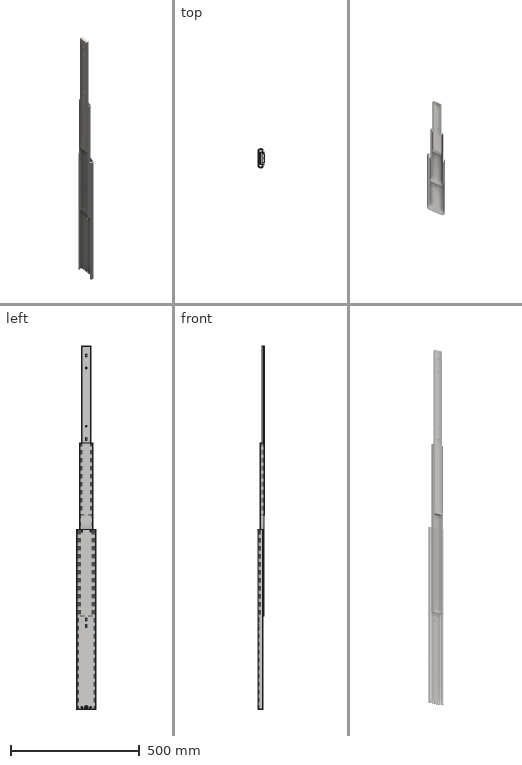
import cadquery as cq
import math

TOTAL_HEIGHT = 1410
HALF_DEPTH = 12.8

OUTER_LENGTH = 700.0
OUTER_SHEET = 3.5
OUTER_HALF_WIDTH = 75.0 / 2
OUTER_BACK = -HALF_DEPTH
OUTER_BENDS = [(9.7, 46), (10.7, 26), (12.0, 69)]

MIDDLE_BOTTOM = 362.0
MIDDLE_TOP = 1034.0
MIDDLE_SHEET = 2.1
MIDDLE_SIDE_INSET = 11.8
MIDDLE_HALF_WIDTH = OUTER_HALF_WIDTH - MIDDLE_SIDE_INSET
MIDDLE_BACK = -4.4
MIDDLE_BENDS = [(2.7, 68), (20.0, 14), (31.0, 17)]

INNER_BOTTOM = 755.0
INNER_BACK = 2.1
INNER_FRONT = HALF_DEPTH
INNER_HALF_WIDTH = 18.0
INNER_CORNER = 1.0
INNER_FLARE = 0.4
INNER_FLARE_END = 9.2
INNER_HALF_FRONT = 17.0

HOLE_DIAMETER = 5.0
SLOT_LENGTH = 10.0
END_HOLE_INSET = 7.8
END_HOLE_OFFSET = 17.0
OUTER_SLOT_PITCH = 25.0
INNER_SLOT_INSET = 37.0
INNER_SLOT_PITCH = 323.0
INNER_HOLE_INSET = 85
INNER_HOLE_PITCH = 225

BUSHING_RADIUS = 6.5
BUSHING_BORE_RADIUS = 3.0


def skin_arcs(back, half_width, bends, inset):
    """Start point and (middle, end) points of the arcs of one skin of a channel's bent edge.

    The heading is 0 degrees along the web (+Y) and 90 degrees towards the front (+X). The inset is the
    distance from the outside skin towards the inside of the bends.
    """
    rise = 0
    heading = 0
    for radius, turn in bends:
        end = min(heading + turn, 90)
        rise += radius * (math.sin(math.radians(end)) - math.sin(math.radians(heading)))
        heading = end

    heading = 0
    center_x = back + bends[0][0]
    center_y = half_width - rise
    start = (back + inset, center_y)
    arcs = []
    previous_radius = bends[0][0]
    for radius, turn in bends:
        shift = radius - previous_radius
        center_x += shift * math.cos(math.radians(heading))
        center_y -= shift * math.sin(math.radians(heading))
        points = []
        for angle in (heading + turn / 2, heading + turn):
            reach = radius - inset
            x = center_x - reach * math.cos(math.radians(angle))
            y = center_y + reach * math.sin(math.radians(angle))
            points.append((x, y))
        arcs.append(points)
        heading += turn
        previous_radius = radius
    return start, arcs


def channel(back, half_width, sheet, bends, bottom, top):
    """Sheet channel with a flat web at the back and two bent edges, open to the front."""
    outside_start, outside_arcs = skin_arcs(back, half_width, bends, 0)
    inside_start, inside_arcs = skin_arcs(back, half_width, bends, sheet)
    half = cq.Workplane("XY").workplane(offset=bottom).moveTo(back, 0).lineTo(*outside_start)
    for middle, end in outside_arcs:
        half = half.threePointArc(middle, end)
    half = half.lineTo(*inside_arcs[-1][1])
    inside_starts = [inside_start] + [end for _, end in inside_arcs[:-1]]
    for (middle, _), start in zip(reversed(inside_arcs), reversed(inside_starts)):
        half = half.threePointArc(middle, start)
    half = half.lineTo(back + sheet, 0).close().extrude(top - bottom)
    return half.union(half.mirror("XZ"))


def facing_front(back):
    """Sketch plane on a back face: local x is Y, local y is Z, and extrusion goes towards +X."""
    return cq.Workplane(cq.Plane(origin=(back, 0, 0), xDir=(0, 1, 0), normal=(1, 0, 0)))


def drill(back, depth, places):
    """Round holes through a rail, to be cut from it."""
    return facing_front(back).pushPoints(places).circle(HOLE_DIAMETER / 2).extrude(depth)


def mill_slots(back, depth, places):
    """Slots, long in Z, through a rail, to be cut from it."""
    return facing_front(back).pushPoints(places).slot2D(SLOT_LENGTH, HOLE_DIAMETER, 90).extrude(depth)


def make_outer_rail():
    rail = channel(OUTER_BACK, OUTER_HALF_WIDTH, OUTER_SHEET, OUTER_BENDS, 0, OUTER_LENGTH)
    end_holes = [
        (side * END_HOLE_OFFSET, z)
        for side in (-1, 1)
        for z in (END_HOLE_INSET, OUTER_LENGTH - END_HOLE_INSET)
    ]
    middle_z = OUTER_LENGTH / 2
    slots = [(0, middle_z), (0, middle_z - OUTER_SLOT_PITCH)]
    bushing_seat = facing_front(OUTER_BACK).center(0, END_HOLE_INSET).circle(BUSHING_RADIUS)
    rail = rail.cut(drill(OUTER_BACK, OUTER_SHEET, end_holes))
    rail = rail.cut(mill_slots(OUTER_BACK, OUTER_SHEET, slots))
    return rail.cut(bushing_seat.extrude(OUTER_SHEET))


def make_middle_rail():
    return channel(
        MIDDLE_BACK, MIDDLE_HALF_WIDTH, MIDDLE_SHEET, MIDDLE_BENDS, MIDDLE_BOTTOM, MIDDLE_TOP
    )


def make_inner_rail():
    corner_x = INNER_BACK + INNER_CORNER
    corner_y = INNER_HALF_WIDTH - INNER_FLARE
    half_back = corner_y - INNER_CORNER
    diagonal = INNER_CORNER * math.sqrt(0.5)
    half = (
        cq.Workplane("XY")
        .workplane(offset=INNER_BOTTOM)
        .moveTo(INNER_BACK, 0)
        .lineTo(INNER_BACK, half_back)
        .threePointArc((corner_x - diagonal, half_back + diagonal), (corner_x, corner_y))
        .lineTo(INNER_FLARE_END, INNER_HALF_WIDTH)
        .lineTo(INNER_FRONT, INNER_HALF_FRONT)
        .lineTo(INNER_FRONT, 0)
        .close()
        .extrude(TOTAL_HEIGHT - INNER_BOTTOM)
    )
    rail = half.union(half.mirror("XZ"))
    depth = INNER_FRONT - INNER_BACK
    slot_z = TOTAL_HEIGHT - INNER_SLOT_INSET
    hole_z = TOTAL_HEIGHT - INNER_HOLE_INSET
    rail = rail.cut(mill_slots(INNER_BACK, depth, [(0, slot_z), (0, slot_z - INNER_SLOT_PITCH)]))
    return rail.cut(drill(INNER_BACK, depth, [(0, hole_z), (0, hole_z - INNER_HOLE_PITCH)]))


def make_bushing():
    """Ring that fills its hole in the outer rail's web, flush on both sides."""
    ring = facing_front(OUTER_BACK).center(0, END_HOLE_INSET).circle(BUSHING_RADIUS)
    return ring.circle(BUSHING_BORE_RADIUS).extrude(OUTER_SHEET)


outer_rail = make_outer_rail()
middle_rail = make_middle_rail()
inner_rail = make_inner_rail()
bushing = make_bushing()

result = cq.Compound.makeCompound([outer_rail.val(), middle_rail.val(), inner_rail.val(), bushing.val()])